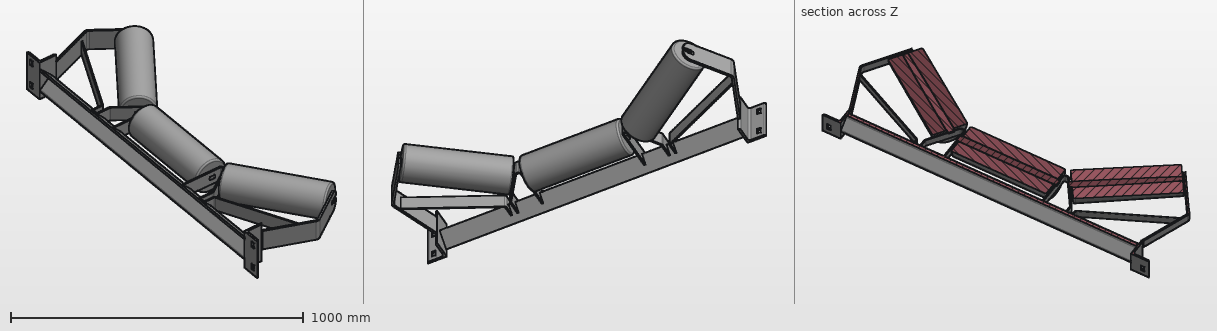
import cadquery as cq
import math


overall_width = 1311.0
steel_thickness = 8.0
root_radius = 8.0
toe_radius = 7.0

beam_leg = 70.0
beam_ridge_y = 54.0

foot_leg = 72.0
foot_length = 160.0
foot_outer_x = -650.0
hole_from_end = 25.0
hole_spacing = 97.0
hole_width = 15.0
hole_height = 22.0

roller_diameter = 132.0
roller_length = 380.0
roller_edge_radius = 7.0
centre_roller_y = 151.0
trough_angle = 35.0
forward_tilt = 1.4
wing_distance = 485.0
wing_drop = 1.0

shaft_diameter = 25.0
shaft_flat_width = 15.0
shaft_overhang = 9.0

arm_width = 80.0
arm_lean = 21.0
arm_bend_y = 258.0
arm_bend_radius = 13.0
arm_tip_y = 415.0
arm_tip_radius = 31.0

strip_width = 55.0
strip_bend_radius = 4.0
bracket_thickness = 5.9
bracket_wing_x = -291.0
bracket_bend_y = 83.0
bracket_top_y = 191.0
bracket_centre_x = -197.0

brace_thickness = 5.0
brace_foot_x = -316.0
brace_bend_y = 71.0
brace_top = (-639.0, 227.0)

slope = math.radians(trough_angle)
wing_middle = (
    -wing_distance * math.cos(slope) - wing_drop * math.sin(slope),
    wing_distance * math.sin(slope) - wing_drop * math.cos(slope),
)
wing_middle_z = roller_length / 2 * math.sin(math.radians(forward_tilt))
arm_middle_z = 2 * wing_middle_z
foot_inner_x = foot_outer_x + foot_leg
beam_length = 2 * abs(foot_inner_x)
shaft_length = roller_length + 2 * shaft_overhang

lean = math.radians(arm_lean)
bend_outer_radius = arm_bend_radius + steel_thickness
bend_centre_x = -overall_width / 2 + bend_outer_radius
bend_to_centre = (arm_bend_radius + steel_thickness / 2) / math.cos((slope + lean) / 2)
arm_bend = (bend_centre_x - bend_to_centre * math.cos((slope - lean) / 2), arm_bend_y)


def place_wing(shape):
    """Move a shape from the roller frame (axis on X, middle at the origin) to the left wing."""
    tilted = shape.rotate((0, 0, 0), (0, 1, 0), forward_tilt)
    sloped = tilted.rotate((0, 0, 0), (0, 0, 1), -trough_angle)
    return sloped.translate((*wing_middle, wing_middle_z))


def place_centre(shape):
    return shape.translate((0, centre_roller_y, 0))


def mirrored(shape):
    return shape.mirror("YZ")


def cylinder_on_x(diameter, length):
    return cq.Workplane("YZ", origin=(-length / 2, 0, 0)).circle(diameter / 2).extrude(length)


def make_shaft():
    """Round shaft whose two ends carry a pair of flats."""
    flats = cq.Workplane().box(shaft_length, shaft_diameter, shaft_flat_width)
    flatted = cylinder_on_x(shaft_diameter, shaft_length).intersect(flats)
    return flatted.union(cylinder_on_x(shaft_diameter, roller_length))


def make_roller():
    """Roller with rounded rims and a bore along its axis."""
    drum = cylinder_on_x(roller_diameter, roller_length).edges().fillet(roller_edge_radius)
    return drum.cut(cylinder_on_x(shaft_diameter, roller_length))


def angle_section(plane, leg, start):
    """Angle steel outline, outer corner on the local origin, legs along local x and y."""
    thickness = steel_thickness
    toe_rise = toe_radius * (1 - math.sqrt(0.5))
    root_rise = root_radius * (1 - math.sqrt(0.5))
    toe_side = thickness - toe_rise
    toe_end = leg - toe_rise
    root_middle = thickness + root_rise
    return (
        cq.Workplane(plane, origin=start)
        .lineTo(leg, 0)
        .lineTo(leg, thickness - toe_radius)
        .threePointArc((toe_end, toe_side), (leg - toe_radius, thickness))
        .lineTo(thickness + root_radius, thickness)
        .threePointArc((root_middle, root_middle), (thickness, thickness + root_radius))
        .lineTo(thickness, leg - toe_radius)
        .threePointArc((toe_side, toe_end), (thickness - toe_radius, leg))
        .lineTo(0, leg)
        .close()
    )


def make_strip(points, thickness, width, bend_radius):
    """Flat bar, `width` along Z, bent along a centre line in the XY plane."""
    path = [cq.Vector(*point) for point in points]
    normals = []
    for start, end in zip(path, path[1:]):
        run = (end - start).normalized()
        normals.append(cq.Vector(-run.y, run.x))

    offsets = [normals[0]]
    for before, after in zip(normals, normals[1:]):
        offsets.append((before + after) / (1 + before.dot(after)))
    offsets.append(normals[-1])
    left = [point + offset * (thickness / 2) for point, offset in zip(path, offsets)]
    right = [point - offset * (thickness / 2) for point, offset in zip(path, offsets)]

    outline = [(corner.x, corner.y) for corner in left + right[::-1]]
    strip = cq.Workplane("XY", origin=(0, 0, -width / 2)).polyline(outline).close().extrude(width)
    for index in range(1, len(path) - 1):
        turns_left = normals[index - 1].cross(normals[index]).z > 0
        for face, inside in ((left, turns_left), (right, not turns_left)):
            radius = bend_radius if inside else bend_radius + thickness
            corner = (face[index].x, face[index].y, 0)
            bend = cq.selectors.NearestToPointSelector(corner)
            strip = strip.edges("|Z").edges(bend).fillet(radius)
    return strip


def trim_to_beam(strip):
    """Cut away what lies below the two sloping outer faces of the beam."""
    depth = 2 * beam_leg
    wedge = (
        cq.Workplane("YZ", origin=(-beam_length / 2, 0, 0))
        .moveTo(beam_ridge_y, 0)
        .lineTo(beam_ridge_y - depth, depth)
        .lineTo(beam_ridge_y - depth, -depth)
        .close()
        .extrude(beam_length)
    )
    return strip.cut(wedge)


def make_beam_angle():
    """Angle lying with its ridge towards +Y and its open side towards -Y."""
    ridge_turn = 135
    bar = angle_section("YZ", beam_leg, (-beam_length / 2, 0, 0)).extrude(beam_length)
    return bar.rotate((0, 0, 0), (1, 0, 0), ridge_turn).translate((0, beam_ridge_y, 0))


def make_inner_bracket(shaft):
    """Bridge between the wing roller and the centre roller, pierced by both shafts."""
    rise = bracket_top_y - bracket_bend_y
    points = [
        (bracket_wing_x, 0),
        (bracket_wing_x, bracket_bend_y),
        (bracket_wing_x + rise * math.tan(slope), bracket_top_y),
        (bracket_centre_x, bracket_top_y),
        (bracket_centre_x, 0),
    ]
    bracket = trim_to_beam(make_strip(points, bracket_thickness, strip_width, strip_bend_radius))
    return bracket.cut(place_wing(shaft)).cut(place_centre(shaft))


def make_cross_beam(shaft):
    bracket = make_inner_bracket(shaft)
    return make_beam_angle().union(bracket).union(mirrored(bracket))


def make_foot():
    """Upright angle with two rectangular bolt holes in its flange."""
    hole_x = foot_outer_x + hole_from_end
    holes = (
        cq.Workplane("XZ")
        .pushPoints([(hole_x, -hole_spacing / 2), (hole_x, hole_spacing / 2)])
        .rect(hole_width, hole_height)
        .extrude(-steel_thickness)
    )
    right_foot = angle_section("XY", foot_leg, (-foot_inner_x, 0, -foot_length / 2))
    return mirrored(right_foot.extrude(foot_length)).cut(holes)


def make_arm(shaft):
    """Bent arm standing on the foot, with a rounded tip and an open slot for the shaft."""
    tip = (arm_bend[0] + (arm_tip_y - arm_bend_y) * math.tan(slope), arm_tip_y)
    root_y = foot_leg - steel_thickness
    root = (arm_bend[0] + (arm_bend_y - root_y) * math.tan(lean), root_y)
    arm = make_strip([root, arm_bend, tip], steel_thickness, arm_width, arm_bend_radius)

    below_foot = cq.Workplane().box(beam_length, foot_leg, foot_length)
    arm = arm.cut(below_foot.translate((foot_outer_x, foot_leg / 2, 0)))

    across_tip = cq.Vector(math.cos(slope), -math.sin(slope), 0)
    arm = arm.edges(cq.selectors.ParallelDirSelector(across_tip)).fillet(arm_tip_radius)

    slot_depth = arm_width
    slot = cq.Workplane().box(2 * shaft_overhang, slot_depth, shaft_flat_width)
    slot = slot.translate((-shaft_length / 2, slot_depth / 2, 0))
    return arm.translate((0, 0, arm_middle_z)).cut(place_wing(slot)).cut(place_wing(shaft))


def make_brace():
    points = [(brace_foot_x, 0), (brace_foot_x, brace_bend_y), brace_top]
    return trim_to_beam(make_strip(points, brace_thickness, strip_width, strip_bend_radius))


def make_end_bracket(shaft):
    return make_foot().union(make_arm(shaft)).union(make_brace())


roller = make_roller()
shaft = make_shaft()
cross_beam = make_cross_beam(shaft)
end_bracket = make_end_bracket(shaft)

bodies = [cross_beam, place_centre(roller), place_centre(shaft)]
for left_body in (end_bracket, place_wing(roller), place_wing(shaft)):
    bodies.append(left_body)
    bodies.append(mirrored(left_body))

result = cq.Compound.makeCompound([body.val() for body in bodies])